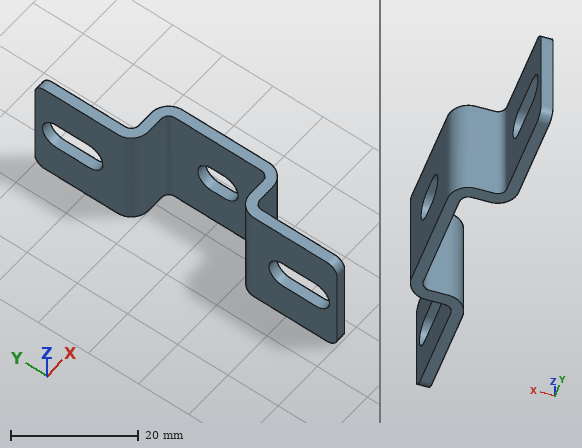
import cadquery as cq

length = 60.2
depth = 10.2
height = 20.0
thickness = 2.0

inner_radius = 1.5
outer_radius = inner_radius + thickness
web_outer_y = 12.1
web_inner_y = web_outer_y - thickness

corner_radius = 2.0
slot_height = 5.6
end_slot_length = 12.05
end_slot_y = 22.6
middle_slot_length = 8.0


def box(x_start, x_end, y_start, y_end):
    """Full-height block between two X and two Y positions."""
    return cq.Workplane("XY").box(
        x_end - x_start, y_end - y_start, height, centered=(False, False, True)
    ).translate((x_start, y_start, 0))


def hat_strip():
    """Flat strip bent into a hat: two end flanges, two webs and a raised middle."""
    half = length / 2
    strip = box(depth - thickness, depth, -web_outer_y, web_outer_y)
    for side in (-1, 1):
        web_y = sorted((side * web_inner_y, side * web_outer_y))
        flange_y = sorted((side * web_inner_y, side * half))
        strip = strip.union(box(0, depth, *web_y))
        strip = strip.union(box(0, thickness, *flange_y))
    return strip.clean()


def bend_edges(strip, points, radius):
    """Fillet the vertical edges at the given (x, |y|) points on both sides."""
    margin = thickness / 4
    for x, y in points:
        for side in (-1, 1):
            selector = cq.selectors.BoxSelector(
                (x - margin, side * y - margin, -height),
                (x + margin, side * y + margin, height),
            )
            strip = strip.edges("|Z").edges(selector).fillet(radius)
    return strip


def slot(y, slot_length):
    """Round-ended slot cutter along Y, passing through the whole depth."""
    return (
        cq.Workplane("YZ")
        .center(y, 0)
        .slot2D(slot_length, slot_height)
        .extrude(depth)
    )


inside_bends = [(thickness, web_outer_y), (depth - thickness, web_inner_y)]
outside_bends = [(0, web_inner_y), (depth, web_outer_y)]

result = hat_strip()
result = bend_edges(result, inside_bends, inner_radius)
result = bend_edges(result, outside_bends, outer_radius)

result = result.faces("<Y or >Y").edges("|X").fillet(corner_radius)

result = result.cut(slot(0, middle_slot_length))
for slot_y in (-end_slot_y, end_slot_y):
    result = result.cut(slot(slot_y, end_slot_length))